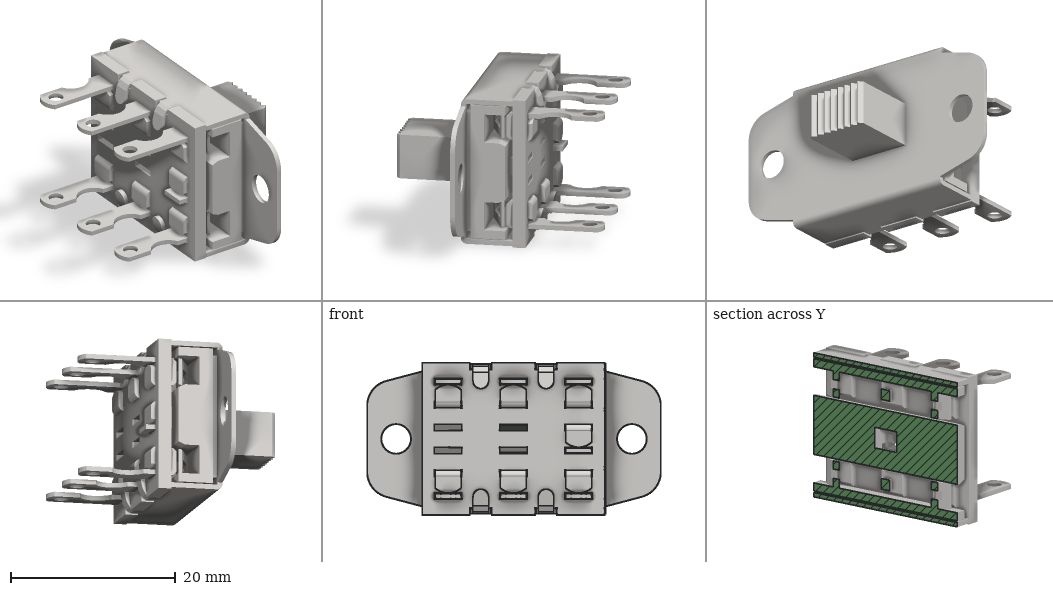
import cadquery as cq


sheet = 0.6
overall_length = 35.7
frame_length = 22.3
frame_height = 18.2
frame_bend = 0.7
wall_end = -6.4
ear_root_height = 16.43
ear_tip_height = 12.85
ear_corner = 3.15
mount_hole = 3.57
mount_spacing = 28.65

board_length = 22.18
board_height = 18.55
board_thickness = 1.6
board_x = -0.07
board_front = wall_end - board_thickness
notch_width = 2.65
notch_depth = 0.85

tab_spacing = 7.93
leg_width = 2.43
leg_end = -7.5
tab_width = 1.9
tab_shoulder_drop = 0.3
tab_bend_y = -8.43
tab_bend_z = 8.1
tab_tip_y = -8.85
tab_tip_z = 6.1

knob_x = -1.93
knob_length = 8.0
knob_height = 5.5
knob_top = 9.05
tooth_count = 8
tooth_pitch = knob_length / tooth_count
tooth_height = tooth_pitch / 2

cover_length = 21.43
cover_height = 15.15
housing_height = 16.7
housing_back = -1.18
housing_front = -5.5
pocket_floor = -2.9
pocket_inner_z = 3.75
pocket_outer_z = 7.3
rib_slope_y = 0.82
rib_slope_z = 0.35
post_length = 15.7
post_height = 2.1
recess_mouth = 3.3
recess_root = 1.85
recess_floor = -2.85
stop_size = 1.4
stop_end = -4.4

spring_sheet = 0.43
spring_half_length = 9.45
spring_slope_length = 4.3
spring_tip_y = -4.68
spring_width = 3.3
spring_z = pocket_outer_z - spring_width / 2
spring_hole_width = 1.1
spring_hole_top = -3.18
spring_hole_bottom = -4.32

column_pitch = 7.93
slot_width = 3.32
slot_height = 0.8
slot_pitch = 2.8
slot_rows = 6
row_z = 2 * slot_pitch
terminal_sheet = 0.57
terminal_width = 3.18
bridge_back = -5.32
short_bridge_back = -5.93
bridge_corner = 0.43
lug_end = -17.2
overall_depth = 26.32
long_lug_end = knob_top - overall_depth
stub_end = -9.18
end_rise = 0.6
lug_hole = 1.82
lug_hole_inset = 1.85
relief_middle = -11.43
relief_half_length = 1.95
relief_depth = 1.25
clip_bend = 0.7


def block(x_mid, length, y_near, y_far, z_low, z_high):
    """Box centred on x_mid, between two y planes and two z planes."""
    size = (length, abs(y_far - y_near), z_high - z_low)
    middle = (x_mid, (y_near + y_far) / 2, (z_low + z_high) / 2)
    return cq.Workplane("XY").box(*size).translate(middle)


def turned(shape):
    """The shape turned half a turn about the board's Y axis."""
    return shape.rotate((board_x, 0, 0), (board_x, 1, 0), 180)


def along_x(outline, x_mid, width):
    """Extrude a (y, z) outline to a width centred on x_mid."""
    plane = cq.Workplane("YZ", origin=(x_mid, 0, 0))
    return plane.polyline(outline).close().extrude(width / 2, both=True)


def make_frame():
    half_z = frame_height / 2
    shell = block(0, frame_length, 0, wall_end, -half_z, half_z)
    shell = shell.edges("|X and >Y").fillet(frame_bend)
    inside = half_z - sheet
    shell = shell.cut(block(0, frame_length, -sheet, wall_end, -inside, inside))

    root_x = frame_length / 2
    tip_x = overall_length / 2
    root_z = ear_root_height / 2
    tip_z = ear_tip_height / 2
    right_half = [(root_x, root_z), (tip_x, tip_z), (tip_x, -tip_z), (root_x, -root_z)]
    left_half = [(-x, -z) for x, z in right_half]
    ears = (
        cq.Workplane("XZ").polyline(right_half + left_half).close().extrude(sheet)
        .edges("|Y and (<X or >X)").fillet(ear_corner)
    )
    holes = (
        cq.Workplane("XZ").pushPoints([(-mount_spacing / 2, 0), (mount_spacing / 2, 0)])
        .circle(mount_hole / 2).extrude(sheet)
    )
    return shell.union(ears).cut(holes)


def make_board():
    half_z = board_height / 2
    board = block(board_x, board_length, wall_end, board_front, -half_z, half_z)
    for side in (-1, 1):
        x = board_x + side * tab_spacing / 2
        board = board.cut(block(x, notch_width, wall_end, board_front, half_z - notch_depth, half_z))
        board = board.cut(block(x, notch_width, wall_end, board_front, -half_z, notch_depth - half_z))
    for column in (-1, 0, 1):
        x = board_x + column * column_pitch
        for step in range(slot_rows):
            z = (step - (slot_rows - 1) / 2) * slot_pitch
            slot = block(x, slot_width, wall_end, board_front, z - slot_height / 2, z + slot_height / 2)
            board = board.cut(slot)
    return board


def make_tab(x):
    """Upper frame leg through a board notch, ending in a tab bent over the board."""
    outer_z = frame_height / 2
    leg = block(x, leg_width, wall_end, leg_end, board_height / 2 - notch_depth, outer_z)
    profile = [
        (leg_end, outer_z),
        (board_front, outer_z - tab_shoulder_drop),
        (tab_bend_y, tab_bend_z),
        (tab_tip_y, tab_tip_z),
        (tab_tip_y + sheet, tab_tip_z),
        (board_front, tab_bend_z),
        (leg_end, board_height / 2 - notch_depth),
    ]
    tab = along_x(profile, x, tab_width)
    round_end = (
        cq.Workplane("XZ", origin=(x, 0, 0))
        .moveTo(-tab_width / 2, outer_z)
        .lineTo(-tab_width / 2, tab_tip_z + tab_width / 2)
        .threePointArc((0, tab_tip_z), (tab_width / 2, tab_tip_z + tab_width / 2))
        .lineTo(tab_width / 2, outer_z)
        .close().extrude(-tab_tip_y)
    )
    return leg.union(tab.intersect(round_end))


def make_knob():
    left = knob_x - knob_length / 2
    valley = knob_top - tooth_height
    outline = [(left, housing_back), (left, valley)]
    for tooth in range(tooth_count):
        start = left + tooth * tooth_pitch
        outline.append((start + tooth_pitch / 2, knob_top))
        outline.append((start + tooth_pitch, valley))
    outline.append((left + knob_length, housing_back))
    return cq.Workplane("XY").polyline(outline).close().extrude(knob_height / 2, both=True)


def make_housing():
    half_z = housing_height / 2
    cover_z = cover_height / 2
    housing = block(0, frame_length, housing_back, housing_front, -half_z, half_z)
    cover = block(0, cover_length, -sheet, housing_back, -cover_z, cover_z)
    post = block(0, post_length, housing_front, wall_end, -post_height / 2, post_height / 2)
    housing = housing.union(cover).union(post)

    pocket = [
        (pocket_floor, pocket_outer_z),
        (housing_front, pocket_outer_z),
        (housing_front, pocket_inner_z - rib_slope_z),
        (housing_front + rib_slope_y, pocket_inner_z),
        (pocket_floor, pocket_inner_z),
    ]
    upper_pocket = along_x(pocket, 0, frame_length)
    housing = housing.cut(upper_pocket).cut(upper_pocket.mirror("XY"))

    recess = [
        (recess_floor, recess_root / 2),
        (housing_front, recess_mouth / 2),
        (wall_end, recess_mouth / 2),
        (wall_end, -recess_mouth / 2),
        (housing_front, -recess_mouth / 2),
        (recess_floor, -recess_root / 2),
    ]
    housing = housing.cut(along_x(recess, board_x, slot_width))

    half_stop = stop_size / 2
    for z in (-spring_z, spring_z):
        stop = block(0, stop_size, pocket_floor, stop_end, z - half_stop, z + half_stop)
        housing = housing.union(stop)
    return housing


def make_spring(z_mid):
    """Trough-shaped spring strip on the pocket floor with both ends sloping toward the board."""
    tip = spring_half_length
    bend = tip - spring_slope_length
    upper = [(-tip, spring_tip_y), (-bend, pocket_floor), (bend, pocket_floor), (tip, spring_tip_y)]
    lower = [(x, y - spring_sheet) for x, y in reversed(upper)]
    plane = cq.Workplane("XY", origin=(0, 0, z_mid))
    spring = plane.polyline(upper + lower).close().extrude(spring_width / 2, both=True)
    half_hole = spring_hole_width / 2
    hole = block(0, 2 * tip, spring_hole_top, spring_hole_bottom, z_mid - half_hole, z_mid + half_hole)
    return spring.cut(hole)


def make_staple(x, z_mid, back):
    """Bridge behind the board and the clip folded over the board's front face.

    The clip leg uses the slot below z_mid and the clip points up.
    """
    reach = (slot_pitch + terminal_sheet) / 2
    bridge = block(x, terminal_width, back, wall_end, z_mid - reach, z_mid + reach)
    bridge = bridge.edges("|X and >Y").chamfer(bridge_corner)

    clip_low = z_mid - slot_pitch / 2 - slot_height / 2
    clip_high = z_mid + slot_pitch / 2 - slot_height / 2
    leg = block(x, terminal_width, wall_end, board_front, clip_low, clip_low + terminal_sheet)
    half = terminal_width / 2
    clip = (
        cq.Workplane("XZ", origin=(x, board_front, 0))
        .moveTo(-half, clip_low)
        .lineTo(-half, clip_high - end_rise)
        .threePointArc((0, clip_high), (half, clip_high - end_rise))
        .lineTo(half, clip_low)
        .close().extrude(terminal_sheet)
    )
    folded = leg.union(clip).edges("|X and <Y and <Z").fillet(clip_bend)
    return bridge.union(folded)


def make_lug(x, end):
    """Upper solder lug with a rounded end, a wire hole and a round relief on its -X edge."""
    half = terminal_width / 2
    lug_z = row_z + slot_pitch / 2
    plane = cq.Workplane("XY", origin=(x, 0, lug_z))
    lug = (
        plane.moveTo(-half, wall_end)
        .lineTo(-half, relief_middle + relief_half_length)
        .threePointArc((relief_depth - half, relief_middle), (-half, relief_middle - relief_half_length))
        .lineTo(-half, end + end_rise)
        .threePointArc((0, end), (half, end + end_rise))
        .lineTo(half, wall_end)
        .close().extrude(terminal_sheet / 2, both=True)
    )
    hole = plane.center(0, end + lug_hole_inset).circle(lug_hole / 2).extrude(terminal_sheet, both=True)
    return lug.cut(hole)


def make_upper_terminal(x, end):
    return make_staple(x, row_z, bridge_back).union(make_lug(x, end))


def make_middle_terminal(x):
    """Short terminal in the middle row: its clip points down beside a square-ended stub."""
    staple = make_staple(x, 0, short_bridge_back).rotate((x, 0, 0), (x, 1, 0), 180)
    stub_z = -slot_pitch / 2
    half = terminal_sheet / 2
    return staple.union(block(x, terminal_width, wall_end, stub_end, stub_z - half, stub_z + half))


result = make_frame().union(make_board()).union(make_housing()).union(make_knob())
for side in (-1, 1):
    upper_tab = make_tab(board_x + side * tab_spacing / 2)
    result = result.union(upper_tab).union(turned(upper_tab))
    result = result.union(make_spring(side * spring_z))
for column in (-1, 0, 1):
    column_x = board_x + column * column_pitch
    upper_end = long_lug_end if column == 1 else lug_end
    result = result.union(make_upper_terminal(column_x, upper_end))
    result = result.union(turned(make_upper_terminal(column_x, lug_end)))
result = result.union(make_middle_terminal(board_x + column_pitch))